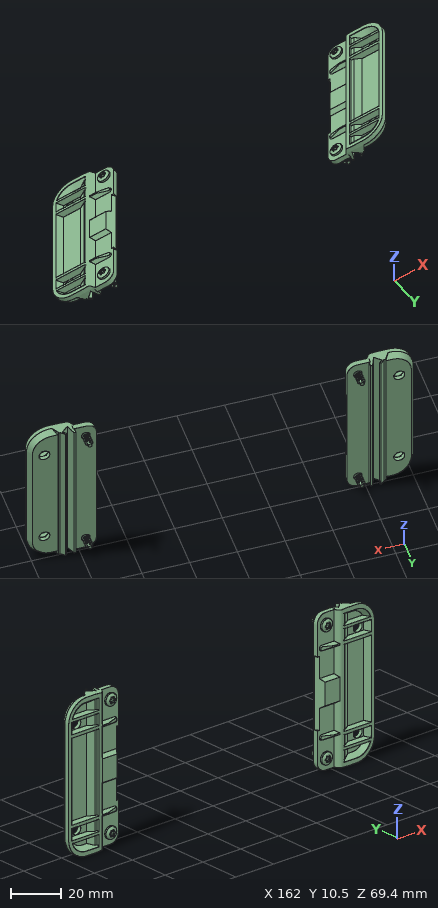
import cadquery as cq
import math

TOTAL_LENGTH = 162.0
PLATE_WIDTH = 28.5
PLATE_THICKNESS = 4.7
HALF_HEIGHT = 34.7

CORNER_RADIUS = 9.7
BEVEL_START = 2.1
BEVEL_INSET = 1.6
END_DRAFT = 3.0
HOUSING_END = 13.0

SPINE_START = 10.5
CREST_END = 14.4
LIP_TIP = 6.8
GROOVE_BOTTOM = (16.8, 2.8)
HOUSING_LIP = [(12.3, PLATE_THICKNESS), (12.5, 5.2), (13.1, 5.2), (14.9, LIP_TIP), (15.4, 6.3), (14.1, 5.2)]
TONGUE_LIP = [(18.5, 6.6), (19.3, 6.6), (19.3, PLATE_THICKNESS)]
RIM_END = 17.2
RAMP_ANGLE = 56.0

TONGUE_START = 19.6
TONGUE_FRONT = 2.3
TONGUE_HALF_HEIGHT = 34.3
TONGUE_CORNER_RADIUS = 4.4
TONGUE_OVERLAP = 0.8

RIM_WIDTH = 1.8
CAVITY_END = 16.2
CAVITY_HALF_HEIGHT = 32.4
CAVITY_RADIUS = 7.8
POCKET_DRAFT = 7.0
CAVITY_SLOPE_START = 0.2
CAVITY_DEPTH = 2.8
CAVITY_SLOPE_INSET = 1.8
SHELF_DEPTH = 1.1
SHELF_START = 14.9
RISE_START = 12.0
CENTRE_POCKET_HALF_HEIGHT = 19.0
HOLE_POCKET_BAND = (20.4, 25.8)
END_POCKET_START = 27.0

MOUNT_HOLE_DIAMETER = 4.5
MOUNT_HOLE_X = 6.6
MOUNT_HOLE_Z = 23.0

BLOCK_FRONT = 0.3
BLOCK_START = 17.5
BLOCK_FACE_END = 26.0
BLOCK_FACE_HALF_HEIGHT = 5.2
BLOCK_SLOPE_RUN = 1.3
EDGE_BEVEL_HALF_LENGTH = 16.0

RIB_Z = 19.5
RIB_BASE_WIDTH = 2.5
RIB_TAPER = 24.0
RIB_FRONT = 0.3
RIB_START = 16.0
RIB_FLAT_END = 21.4
RIB_END = 27.4
RIB_END_HEIGHT = 0.5

SCREW_X = 24.0
SCREW_Z = 29.0
SHANK_DIAMETER = 3.5
HEAD_DIAMETER = 5.7
HEAD_FRONT = 0.5
HEAD_SIDE_FRONT = 1.5
SOCKET_DIAMETER = 3.0
SOCKET_CORE_DIAMETER = 2.0
SOCKET_DEPTH = 1.0
SOCKET_LOBES = 6
LOBE_RADIUS = 0.4
CORE_DIAMETER = 1.6
THREAD_DIAMETER = 3.0
THREAD_PITCH = 1.38
THREAD_TURNS = 3.25
THREAD_START = 5.0
THREAD_ROOT_WIDTH = 0.57
THREAD_CREST_WIDTH = 0.2
THREAD_OVERLAP = 0.2
SCREW_TIP = 10.5


def back_facing_plane(y):
    """Sketch plane whose extrusions run toward +Y; its vertical axis is -Z."""
    return cq.Workplane(cq.Plane(origin=(0, y, 0), xDir=(1, 0, 0), normal=(0, 1, 0)))


def front_facing_plane(y):
    """Sketch plane whose extrusions run toward -Y; its vertical axis is +Z."""
    return cq.Workplane("XZ", origin=(0, y, 0))


def block_between(x0, x1, y0, y1, z0, z1):
    return cq.Workplane("XY").box(x1 - x0, y1 - y0, z1 - z0, centered=False).translate((x0, y0, z0))


def prism_along_z(profile, half_height):
    return profile.close().extrude(half_height, both=True)


def left_rounded_outline(plane, x0, x1, half_height, radius):
    """Outline symmetric about z = 0 whose two corners at x0 are rounded."""
    bend = radius * (1 - math.sqrt(0.5))
    return (
        plane.moveTo(x1, -half_height)
        .lineTo(x0 + radius, -half_height)
        .threePointArc((x0 + bend, bend - half_height), (x0, radius - half_height))
        .lineTo(x0, half_height - radius)
        .threePointArc((x0 + bend, half_height - bend), (x0 + radius, half_height))
        .lineTo(x1, half_height)
        .close()
    )


def housing():
    """Outer part of the plate, straight in front and bevelled behind."""

    def outline(plane):
        return left_rounded_outline(plane, 0, PLATE_WIDTH, HALF_HEIGHT, CORNER_RADIUS)

    bevel_height = PLATE_THICKNESS - BEVEL_START
    bevel_angle = math.degrees(math.atan(BEVEL_INSET / bevel_height))
    front = outline(front_facing_plane(BEVEL_START)).extrude(BEVEL_START, taper=END_DRAFT)
    back = outline(back_facing_plane(BEVEL_START)).extrude(bevel_height, taper=bevel_angle)
    left_part = block_between(0, HOUSING_END, 0, PLATE_THICKNESS, -HALF_HEIGHT, HALF_HEIGHT)
    return front.union(back).intersect(left_part)


def spine():
    """Full-height strip with the V groove and its two lips behind, the rounded ramp in front."""
    ramp_angle = math.radians(RAMP_ANGLE)
    ramp_corner = TONGUE_START - TONGUE_FRONT / math.tan(ramp_angle)
    tangent_length = ramp_corner - RIM_END
    rounding_radius = tangent_length / math.tan(ramp_angle / 2)
    rounding_end = (
        ramp_corner + tangent_length * math.cos(ramp_angle),
        tangent_length * math.sin(ramp_angle),
    )
    corners = [(SPINE_START, 0), (SPINE_START, BEVEL_START), *HOUSING_LIP, GROOVE_BOTTOM, *TONGUE_LIP]
    corners += [(TONGUE_START, PLATE_THICKNESS), (TONGUE_START, TONGUE_FRONT), rounding_end]
    profile = cq.Workplane("XY").polyline(corners).radiusArc((RIM_END, 0), rounding_radius)

    upper_edge = [
        (0, HALF_HEIGHT),
        (CREST_END, HALF_HEIGHT),
        (TONGUE_START, TONGUE_HALF_HEIGHT),
        (PLATE_WIDTH, TONGUE_HALF_HEIGHT),
    ]
    seam = upper_edge + [(x, -z) for x, z in reversed(upper_edge)]
    front = front_facing_plane(BEVEL_START).polyline(seam).close().extrude(BEVEL_START, taper=END_DRAFT)
    back = back_facing_plane(BEVEL_START).polyline(seam).close().extrude(LIP_TIP, taper=END_DRAFT)
    ends = front.union(back)
    return prism_along_z(profile, HALF_HEIGHT).intersect(ends)


def tongue():
    x_start = TONGUE_START - TONGUE_OVERLAP
    strip = block_between(
        x_start, PLATE_WIDTH, TONGUE_FRONT, PLATE_THICKNESS, -TONGUE_HALF_HEIGHT, TONGUE_HALF_HEIGHT
    )
    return strip.edges("|Y and >X").fillet(TONGUE_CORNER_RADIUS)


def raised_block():
    """Block with sloping sides; its slope at the free edge runs on as the edge bevel."""
    base_end = BLOCK_FACE_END + BLOCK_SLOPE_RUN
    base_half_height = BLOCK_FACE_HALF_HEIGHT + BLOCK_SLOPE_RUN
    lengthwise = prism_along_z(
        cq.Workplane("XY")
        .moveTo(BLOCK_START, BLOCK_FRONT)
        .lineTo(BLOCK_FACE_END, BLOCK_FRONT)
        .lineTo(base_end, TONGUE_FRONT)
        .lineTo(BLOCK_START, TONGUE_FRONT),
        base_half_height,
    )
    crosswise = (
        cq.Workplane("YZ")
        .moveTo(BLOCK_FRONT, -BLOCK_FACE_HALF_HEIGHT)
        .lineTo(BLOCK_FRONT, BLOCK_FACE_HALF_HEIGHT)
        .lineTo(TONGUE_FRONT, base_half_height)
        .lineTo(TONGUE_FRONT, -base_half_height)
        .close()
        .extrude(PLATE_WIDTH)
    )
    return lengthwise.intersect(crosswise)


def edge_bevel():
    """Wedge cut from the free edge, in the same plane as the end slope of the raised block."""
    slope = (TONGUE_FRONT - BLOCK_FRONT) / BLOCK_SLOPE_RUN
    bevel_start = BLOCK_FACE_END + BLOCK_SLOPE_RUN
    bevel_depth = (PLATE_WIDTH - bevel_start) * slope
    return prism_along_z(
        cq.Workplane("XY")
        .moveTo(bevel_start, TONGUE_FRONT)
        .lineTo(PLATE_WIDTH, TONGUE_FRONT)
        .lineTo(PLATE_WIDTH, TONGUE_FRONT + bevel_depth),
        EDGE_BEVEL_HALF_LENGTH,
    )


def tongue_rib(z):
    """Rib with drafted sides and a round end that slopes down toward the free edge."""
    height = TONGUE_FRONT - RIB_FRONT
    blank = (
        front_facing_plane(TONGUE_FRONT)
        .center((RIB_START + RIB_END) / 2, z)
        .slot2D(RIB_END - RIB_START, RIB_BASE_WIDTH)
        .extrude(height, taper=RIB_TAPER)
    )
    side = prism_along_z(
        cq.Workplane("XY")
        .moveTo(RIM_END, TONGUE_FRONT)
        .lineTo(RIM_END, RIB_FRONT)
        .lineTo(RIB_FLAT_END, RIB_FRONT)
        .lineTo(RIB_END, TONGUE_FRONT - RIB_END_HEIGHT)
        .lineTo(RIB_END, TONGUE_FRONT),
        HALF_HEIGHT,
    )
    return blank.intersect(side)


def drafted_band(z0, z1):
    """Slab between two heights that narrows toward the floor and is wider than the cavity."""
    return (
        back_facing_plane(0)
        .center(PLATE_WIDTH / 2, -(z0 + z1) / 2)
        .rect(2 * PLATE_WIDTH, z1 - z0)
        .extrude(CAVITY_DEPTH, taper=POCKET_DRAFT)
    )


def pockets():
    """One cavity with sloping walls and a stepped floor, split by four cross ribs into five pockets."""

    def outline(y):
        return left_rounded_outline(
            back_facing_plane(y), RIM_WIDTH, PLATE_WIDTH, CAVITY_HALF_HEIGHT, CAVITY_RADIUS
        )

    slope_height = CAVITY_DEPTH - CAVITY_SLOPE_START
    slope_angle = math.degrees(math.atan(CAVITY_SLOPE_INSET / slope_height))
    cavity = outline(0).extrude(CAVITY_SLOPE_START)
    cavity = cavity.union(outline(CAVITY_SLOPE_START).extrude(slope_height, taper=slope_angle))
    floor_profile = prism_along_z(
        cq.Workplane("XY")
        .moveTo(0, 0)
        .lineTo(0, CAVITY_DEPTH)
        .lineTo(RISE_START, CAVITY_DEPTH)
        .lineTo(SHELF_START, SHELF_DEPTH)
        .lineTo(CAVITY_END, SHELF_DEPTH)
        .lineTo(CAVITY_END, 0),
        HALF_HEIGHT,
    )
    cavity = cavity.intersect(floor_profile)
    bands = drafted_band(-CENTRE_POCKET_HALF_HEIGHT, CENTRE_POCKET_HALF_HEIGHT)
    for z0, z1 in (HOLE_POCKET_BAND, (END_POCKET_START, HALF_HEIGHT)):
        bands = bands.union(drafted_band(z0, z1)).union(drafted_band(-z1, -z0))
    return cavity.intersect(bands)


def through_holes(x, z, diameter):
    return back_facing_plane(0).pushPoints([(x, -z), (x, z)]).circle(diameter / 2).extrude(PLATE_THICKNESS)


def plate():
    body = housing().union(spine()).union(tongue()).union(raised_block())
    for z in (-RIB_Z, RIB_Z):
        body = body.union(tongue_rib(z))
    body = body.cut(pockets()).cut(edge_bevel())
    body = body.cut(through_holes(MOUNT_HOLE_X, MOUNT_HOLE_Z, MOUNT_HOLE_DIAMETER))
    return body.cut(through_holes(SCREW_X, SCREW_Z, SHANK_DIAMETER))


def thread():
    """Helical ridge around the core, along +Z from z = 0, starting on the -X side."""
    root_radius = CORE_DIAMETER / 2 - THREAD_OVERLAP
    crest_radius = THREAD_DIAMETER / 2
    path = cq.Wire.makeHelix(THREAD_PITCH, THREAD_PITCH * THREAD_TURNS, root_radius)
    return (
        cq.Workplane("XZ")
        .moveTo(root_radius, -THREAD_ROOT_WIDTH / 2)
        .lineTo(crest_radius, -THREAD_CREST_WIDTH / 2)
        .lineTo(crest_radius, THREAD_CREST_WIDTH / 2)
        .lineTo(root_radius, THREAD_ROOT_WIDTH / 2)
        .close()
        .sweep(cq.Workplane(path), isFrenet=True)
        .rotate((0, 0, 0), (0, 0, 1), 180)
    )


def socket():
    """Six-lobed recess, along +Z from z = 0."""
    lobe_circle = SOCKET_DIAMETER / 2 - LOBE_RADIUS
    core = cq.Workplane("XY").circle(SOCKET_CORE_DIAMETER / 2).extrude(SOCKET_DEPTH)
    lobes = (
        cq.Workplane("XY")
        .polarArray(lobe_circle, 0, 360, SOCKET_LOBES)
        .circle(LOBE_RADIUS)
        .extrude(SOCKET_DEPTH)
    )
    return core.union(lobes)


def screw():
    """Screw along +Z, its z being the plate's y, then turned to point along +Y."""
    head_radius = HEAD_DIAMETER / 2
    dome_height = HEAD_SIDE_FRONT - HEAD_FRONT
    dome_radius = (head_radius**2 + dome_height**2) / (2 * dome_height)
    shape = (
        cq.Workplane("XZ")
        .moveTo(0, HEAD_FRONT)
        .radiusArc((head_radius, HEAD_SIDE_FRONT), -dome_radius)
        .lineTo(head_radius, TONGUE_FRONT)
        .lineTo(SHANK_DIAMETER / 2, TONGUE_FRONT)
        .lineTo(SHANK_DIAMETER / 2, PLATE_THICKNESS)
        .lineTo(CORE_DIAMETER / 2, PLATE_THICKNESS)
        .lineTo(CORE_DIAMETER / 2, SCREW_TIP)
        .lineTo(0, SCREW_TIP)
        .close()
        .revolve(360, (0, 0, 0), (0, 1, 0))
    )
    shape = shape.union(thread().translate((0, 0, THREAD_START)))
    shape = shape.cut(socket().translate((0, 0, HEAD_FRONT)))
    return shape.rotate((0, 0, 0), (1, 0, 0), -90)


left_plate = plate().translate((-TOTAL_LENGTH / 2, 0, 0))
right_plate = left_plate.mirror("YZ")

screw_offset = TOTAL_LENGTH / 2 - SCREW_X
screws = []
for x in (-screw_offset, screw_offset):
    for z in (-SCREW_Z, SCREW_Z):
        screws.append(screw().translate((x, 0, z)))

result = cq.Compound.makeCompound(
    [left_plate.val(), right_plate.val(), *[one_screw.val() for one_screw in screws]]
)